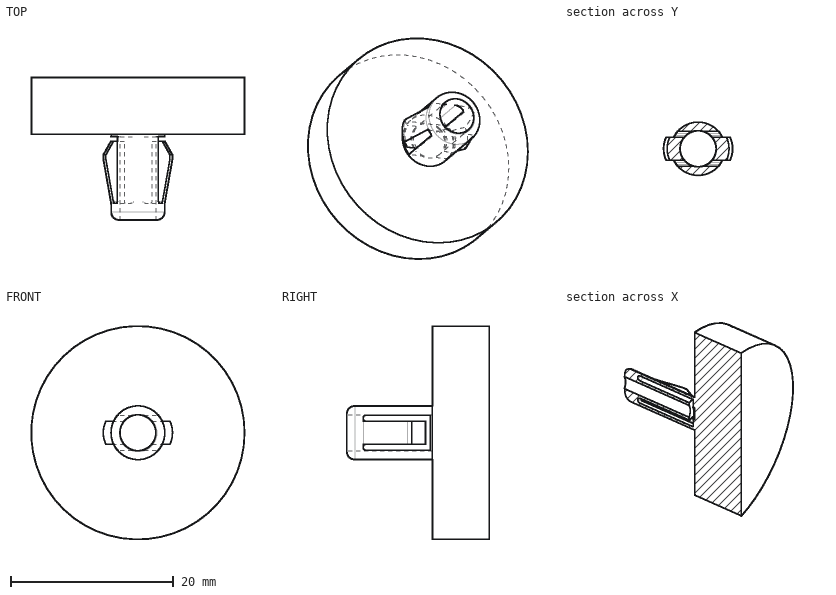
import cadquery as cq
import math

disc_diameter = 26.2
disc_thickness = 7.0

stem_radius = 3.3
stem_length = 10.5
bore_radius = 2.2
stem_end_fillet = 1.0

window_start = 0.25
window_end = 8.45
window_width = 4.25
window_corner_radius = 0.25

finger_width = 2.84
finger_peak_reach = 4.25
finger_tip_depth = 0.8
finger_peak_start = 2.5
finger_peak_end = 3.05


def rod(radius, length):
    """Solid cylinder from the disc underside toward -Y."""
    return cq.Workplane("XZ").circle(radius).extrude(length)


def make_disc():
    return rod(disc_diameter / 2, -disc_thickness)


def make_stem():
    return rod(stem_radius, stem_length).faces("<Y").edges().fillet(stem_end_fillet)


def make_window():
    """Openings crossing the stem along X: a gap at the finger tips and a channel beside each edge."""
    channel_width = (window_width - finger_width) / 2
    channel_center = (window_width + finger_width) / 4
    channel_length = window_end - window_start
    window = (
        cq.Workplane("XY")
        .box(2 * stem_radius, finger_tip_depth - window_start, window_width)
        .translate((0, -(finger_tip_depth + window_start) / 2, 0))
    )
    for side in (-1, 1):
        channel = (
            cq.Workplane("XY")
            .box(2 * stem_radius, channel_length, channel_width)
            .faces("<Y")
            .edges("|X")
            .fillet(window_corner_radius)
            .translate((0, -(window_start + window_end) / 2, side * channel_center))
        )
        window = window.union(channel)
    return window


def finger_section(depth, reach):
    """Finger outline at a depth below the disc: its outer side keeps the stem's curvature."""
    half_width = finger_width / 2
    edge_drop = stem_radius - math.sqrt(stem_radius**2 - half_width**2)
    edge_reach = reach - edge_drop
    return (
        cq.Workplane("XZ", origin=(0, -depth, 0))
        .moveTo(0, -half_width)
        .lineTo(edge_reach, -half_width)
        .threePointArc((reach, 0), (edge_reach, half_width))
        .lineTo(0, half_width)
        .close()
        .val()
    )


def make_finger():
    """Finger on the +X side: steep lead at the tip, short peak, long taper to the hinge."""
    sections = [
        finger_section(finger_tip_depth, stem_radius),
        finger_section(finger_peak_start, finger_peak_reach),
        finger_section(finger_peak_end, finger_peak_reach),
        finger_section(window_end, stem_radius),
    ]
    return cq.Workplane(cq.Solid.makeLoft(sections, True))


finger = make_finger()
opposite_finger = finger.mirror("YZ")
slotted_stem = make_stem().cut(make_window())
hollow_stem = slotted_stem.union(finger).union(opposite_finger).cut(rod(bore_radius, stem_length))

result = make_disc().union(hollow_stem)